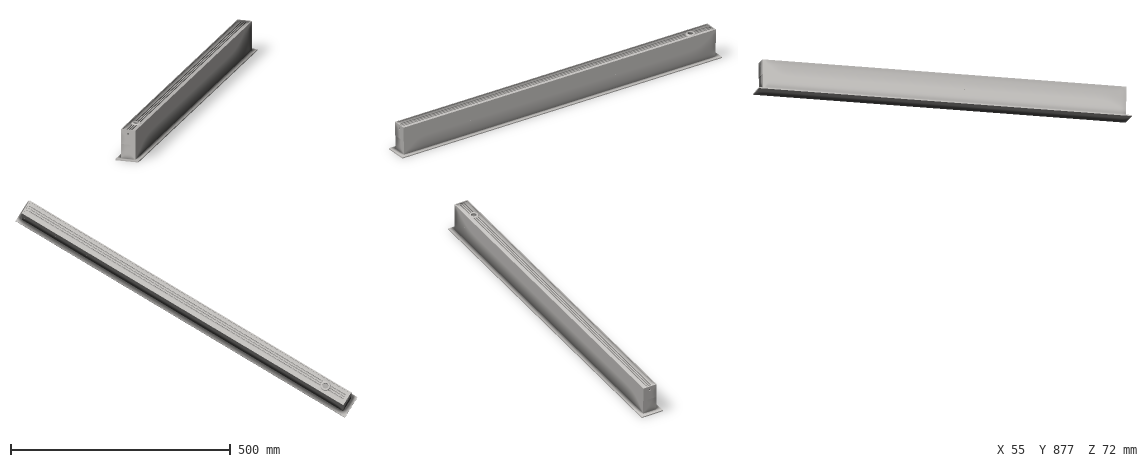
import cadquery as cq

total_length = 877.0
total_height = 72.0
joint_height = 37.0

flange_width = 55.0
flange_thickness = 3.0
body_width = 35.0
housing_length = 855.0

wall = 3.0
cap_outer_length = 857.0
cap_depth = 5.0
cap_wall = 3.0
channel_length = cap_outer_length - 2 * cap_depth
inside_width = body_width - 2 * wall
floor_height = joint_height + wall

rail_recess = 2.0
rail_top = total_height - rail_recess
rail_height = rail_top - floor_height
rail_length = 844.0
groove_width = 13.0
groove_depth = 3.0
groove_floor = rail_top - groove_depth
rib_width = 8.0
slot_width = 3.0

plate_thickness = (cap_outer_length - rail_length) / 2 - cap_wall
window_width = 18.0
window_height = 19.0
window_bottom = 47.0
plate_notch_depth = 2.0

screw_height = 53.5
head_diameter = 8.0
head_depth = 2.0
shank_diameter = 4.5
shank_length = 10.5
cap_hole_diameter = 5.0
cap_hole_height = 62.0

grommet_y = -370.0
grommet_diameter = 24.0
grommet_top_diameter = 20.0
grommet_bore = 13.0
grommet_height = total_height - groove_floor
grommet_chamfer = (grommet_diameter - grommet_top_diameter) / 2


def block(width, length, height, bottom, y=0.0):
    """Box centred on x = 0, with its middle at y and its lower face at the height bottom."""
    return cq.Workplane("XY").box(width, length, height, (True, True, False)).translate((0, y, bottom))


def rod(diameter, length, y_start, height):
    """Cylinder on x = 0 that runs from y_start towards +Y."""
    plane = cq.Workplane("XZ", origin=(0, y_start, height))
    return plane.circle(diameter / 2).extrude(-length)


def disc(diameter, height, bottom):
    """Upright cylinder at the grommet's place."""
    return cq.Workplane("XY", origin=(0, grommet_y, bottom)).circle(diameter / 2).extrude(height)


def at_end(body, end):
    """Turn a body made for the -Y end (end = -1) to the +Y end (end = 1)."""
    return body.mirror("XZ") if end > 0 else body


cap_face = -cap_outer_length / 2
plate_middle = cap_face + cap_wall + plate_thickness / 2


def make_housing():
    """Closed box standing on its flange."""
    flange = block(flange_width, total_length, flange_thickness, 0)
    body = block(body_width, housing_length, joint_height, 0)
    return flange.union(body)


def make_channel():
    """U-shaped trough, open at the top and at both ends."""
    outside = block(body_width, channel_length, total_height - joint_height, joint_height)
    inside = block(inside_width, channel_length, total_height - floor_height, floor_height)
    return outside.cut(inside)


def make_screw():
    """Screw with its head flush with the cap face."""
    head = rod(head_diameter, head_depth, cap_face, screw_height)
    shank = rod(shank_diameter, shank_length, cap_face, screw_height)
    return head.union(shank)


def make_grommet():
    """Ring with a chamfered top rim."""
    ring = disc(grommet_diameter, grommet_height, groove_floor)
    ring = ring.faces(">Z").edges().chamfer(grommet_chamfer)
    return ring.cut(disc(grommet_bore, grommet_height, groove_floor))


def make_cap():
    """Channel end whose back is recessed for the end plate."""
    cap = block(body_width, cap_depth, total_height - joint_height, joint_height, cap_face + cap_depth / 2)
    recess = block(inside_width, plate_thickness, total_height - floor_height, floor_height, plate_middle)
    small_hole = rod(cap_hole_diameter, cap_depth, cap_face, cap_hole_height)
    return cap.cut(recess).cut(small_hole).cut(make_screw())


def make_end_plate():
    """Plate with a window that the screw passes through."""
    plate = block(inside_width, plate_thickness, rail_height, floor_height, plate_middle)
    window = block(window_width, plate_thickness, window_height, window_bottom, plate_middle)
    notch = block(rib_width, plate_thickness, plate_notch_depth, rail_top - plate_notch_depth, plate_middle)
    return plate.cut(window).cut(notch)


def make_rail():
    """Bar with a slotted rib in its top groove, a seat for the grommet and screw holes."""
    rail = block(inside_width, rail_length, rail_height, floor_height)
    groove = block(groove_width, rail_length, groove_depth, groove_floor)
    rib = block(rib_width, rail_length, groove_depth, groove_floor)
    slot = block(slot_width, rail_length, groove_depth, groove_floor)
    rail = rail.cut(groove.cut(rib)).cut(slot)
    rail = rail.cut(disc(grommet_diameter, groove_depth, groove_floor))
    for end in (-1, 1):
        rail = rail.cut(at_end(make_screw(), end))
    return rail


housing = make_housing()
channel = make_channel()
rail = make_rail()
grommet = make_grommet()
caps = [at_end(make_cap(), end) for end in (-1, 1)]
end_plates = [at_end(make_end_plate(), end) for end in (-1, 1)]
screws = [at_end(make_screw(), end) for end in (-1, 1)]

bodies = [housing, channel, rail, grommet, *caps, *end_plates, *screws]
result = cq.Compound.makeCompound([body.val() for body in bodies])